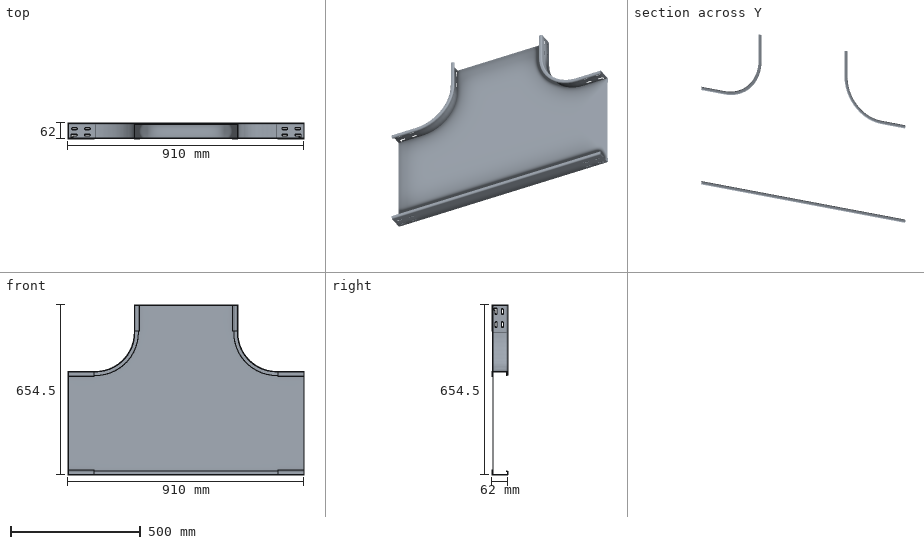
import cadquery as cq
import math

LENGTH = 910.0
WIDTH = 399.0
HEIGHT = (LENGTH + WIDTH) / 2
STRAIGHT = 106.0
HALF_LENGTH = LENGTH / 2
BEND_RADIUS = HEIGHT - WIDTH - STRAIGHT
BEND_X = -HALF_LENGTH + STRAIGHT
BEND_Z = WIDTH + BEND_RADIUS

SHEET = 1.4
DEPTH = 59.0
HOOK_WIDTH = 15.0
HOOK_RETURN = 6.0
HOOK_BEND = 5.0
FLANGE_WIDTH = 15.5

OFFSET_LENGTH = 100.0
FLANGE_FRONT = 3.0
FLANGE_BEND = 2.3
LIP_WIDTH = 5.0
LIP_SLOPE = 1.0

SLOT_LENGTH = 21.0
SLOT_WIDTH = 6.0
SLOT_FIRST = 25.0
SLOT_PITCH = 50.0
SLOT_COLUMNS = 2
SLOT_ROWS = (13.0, 37.0)
ARM_FROM_END = 15.5
ARM_REACH = 9.0


def point_towards(start, end, distance):
    """Point at a distance from start on the way to end."""
    share = distance / math.dist(start, end)
    return (start[0] + share * (end[0] - start[0]), start[1] + share * (end[1] - start[1]))


def rounded_outline(plane, corners):
    """Closed wire through (point, radius) corners; only square corners have a radius."""
    wire = plane.moveTo(*corners[0][0])
    for (before, _), (corner, radius), (after, _) in zip(corners, corners[1:], corners[2:] + corners[:1]):
        if radius > 0:
            wire = wire.lineTo(*point_towards(corner, before, radius))
            wire = wire.tangentArcPoint(point_towards(corner, after, radius), relative=False)
        else:
            wire = wire.lineTo(*corner)
    return wire.close()


def rail_section(plane, flange_outside, flange_inside, flange_front, flange_bend):
    """Section of a rail; the first coordinate runs inward from the outer face of the wall."""
    inner_bend = HOOK_BEND - SHEET
    tip = DEPTH - HOOK_RETURN
    outside = flange_outside + [
        ((0, -flange_front), flange_bend),
        ((0, DEPTH), HOOK_BEND),
        ((HOOK_WIDTH, DEPTH), HOOK_BEND),
        ((HOOK_WIDTH, tip), 0),
    ]
    inside = [
        ((HOOK_WIDTH - SHEET, tip), 0),
        ((HOOK_WIDTH - SHEET, DEPTH - SHEET), inner_bend),
        ((SHEET, DEPTH - SHEET), inner_bend),
        ((SHEET, SHEET - flange_front), max(flange_bend - SHEET, 0)),
    ]
    return rounded_outline(plane, outside + inside + flange_inside)


def plain_section(plane):
    """Section with the flange flat on the front of the plate."""
    return rail_section(plane, [((FLANGE_WIDTH, -SHEET), 0)], [((FLANGE_WIDTH, 0), 0)], SHEET, 0)


def offset_section(plane):
    """Section with the flange held off the plate, its edge sloping back."""
    inner = SHEET - FLANGE_FRONT
    lip_edge = FLANGE_WIDTH + LIP_WIDTH
    outside = [((lip_edge, LIP_SLOPE - FLANGE_FRONT), 0), ((FLANGE_WIDTH, -FLANGE_FRONT), 0)]
    inside = [((FLANGE_WIDTH, inner), 0), ((lip_edge, inner + LIP_SLOPE), 0)]
    return rail_section(plane, outside, inside, FLANGE_FRONT, FLANGE_BEND)


def upper_section_plane(x):
    """Plane across the upper left rail: inward is -Z, and the plane faces +X."""
    return cq.Workplane(cq.Plane(origin=(x, 0, WIDTH), xDir=(0, 0, -1), normal=(1, 0, 0)))


def slot_cutter(x, y, length, angle):
    """Cutter through the wall of the upper left rail, turned by an angle from X."""
    return (
        cq.Workplane("XY", origin=(x, y, WIDTH - 2 * SHEET))
        .slot2D(length, SLOT_WIDTH, angle)
        .extrude(3 * SHEET)
    )


def rail_end():
    """Slotted straight end of the upper left rail."""
    offset_part = offset_section(upper_section_plane(-HALF_LENGTH)).extrude(OFFSET_LENGTH)
    plain_plane = upper_section_plane(-HALF_LENGTH + OFFSET_LENGTH)
    plain_part = plain_section(plain_plane).extrude(STRAIGHT - OFFSET_LENGTH)
    end = offset_part.union(plain_part)
    for column in range(SLOT_COLUMNS):
        slot_x = -HALF_LENGTH + SLOT_FIRST + column * SLOT_PITCH
        for row in SLOT_ROWS:
            end = end.cut(slot_cutter(slot_x, row, SLOT_LENGTH, 0))
    arm_length = ARM_REACH + SLOT_WIDTH / 2
    arm_y = SLOT_ROWS[0] + SLOT_WIDTH / 2 - arm_length / 2
    return end.cut(slot_cutter(-HALF_LENGTH + ARM_FROM_END, arm_y, arm_length, 90))


def corner_rail(side):
    """Corner rail on the left or right: a quarter bend between two straight ends, alike about its diagonal."""
    bend = plain_section(upper_section_plane(BEND_X)).revolve(90, (-BEND_RADIUS, 9), (-BEND_RADIUS, 0))
    main_end = rail_end()
    branch_end = main_end.mirror((1, 0, 1), (BEND_X, 0, BEND_Z))
    left_rail = bend.union(main_end).union(branch_end)
    return left_rail if side == "left" else left_rail.mirror("YZ")


def bottom_rail():
    """Straight rail along the bottom, with a slotted end on each side."""
    middle = plain_section(upper_section_plane(BEND_X)).extrude(-2 * BEND_X)
    left_end = rail_end()
    upper_rail = middle.union(left_end).union(left_end.mirror("YZ"))
    return upper_rail.mirror("XY", (0, 0, WIDTH / 2))


def plate():
    """Flat tee plate that fits between the walls, behind the flanges."""
    low = SHEET
    high = WIDTH - SHEET
    branch_half = WIDTH / 2 - SHEET
    radius = BEND_RADIUS + SHEET
    mid_x = BEND_X + radius * math.sqrt(0.5)
    mid_z = BEND_Z - radius * math.sqrt(0.5)
    return (
        cq.Workplane("XZ")
        .moveTo(-HALF_LENGTH, low)
        .lineTo(HALF_LENGTH, low)
        .lineTo(HALF_LENGTH, high)
        .lineTo(-BEND_X, high)
        .threePointArc((-mid_x, mid_z), (branch_half, BEND_Z))
        .lineTo(branch_half, HEIGHT)
        .lineTo(-branch_half, HEIGHT)
        .lineTo(-branch_half, BEND_Z)
        .threePointArc((mid_x, mid_z), (BEND_X, high))
        .lineTo(-HALF_LENGTH, high)
        .close()
        .extrude(-SHEET)
    )


corner_rails = []
for side in ("left", "right"):
    corner_rails.append(corner_rail(side).val())

result = cq.Compound.makeCompound([plate().val(), bottom_rail().val(), *corner_rails])